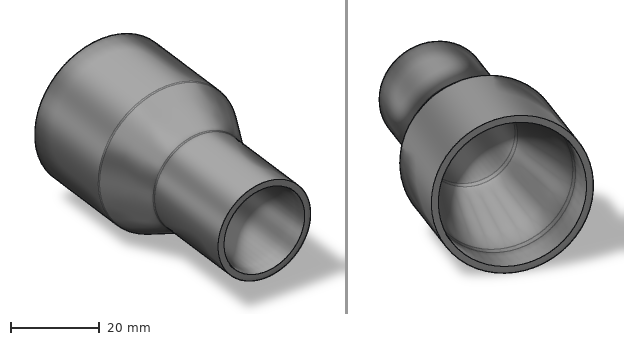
import cadquery as cq

total_length = 63.5
large_diameter = 38.1
small_diameter = 25.4
wall = 1.65

straight_length = 25.4
outer_cone_start = straight_length
outer_cone_end = total_length - straight_length
outer_bend_radius = 0.95

inner_cone_start = 9.5
inner_cone_length = 25.4
inner_cone_end = inner_cone_start + inner_cone_length
inner_bend_radius = 6.35

large_radius = large_diameter / 2
small_radius = small_diameter / 2


def tapered_solid(start_radius, end_radius, cone_start, cone_end, bend_radius):
    """Two coaxial cylinders joined by a cone, with both bends rounded."""
    sharp_solid = (
        cq.Workplane("XY")
        .lineTo(0, start_radius)
        .lineTo(cone_start, start_radius)
        .lineTo(cone_end, end_radius)
        .lineTo(total_length, end_radius)
        .lineTo(total_length, 0)
        .close()
        .revolve(360, (0, 0, 0), (1, 0, 0))
    )
    bends = sharp_solid.edges("%CIRCLE").edges("not(<X or >X)")
    return bends.fillet(bend_radius)


outside = tapered_solid(
    large_radius,
    small_radius,
    outer_cone_start,
    outer_cone_end,
    outer_bend_radius,
)
bore = tapered_solid(
    large_radius - wall,
    small_radius - wall,
    inner_cone_start,
    inner_cone_end,
    inner_bend_radius,
)
result = outside.cut(bore)